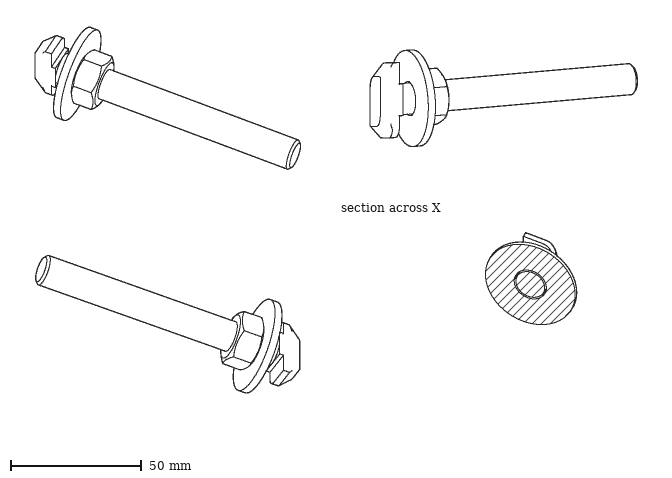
import cadquery as cq
import math

total_length = 107.5

head_thickness = 7.5
head_width = 12.0
head_height = 31.5
end_slope = 10.0
corner_radius = 5.0
sharp_edge_radius = 0.4
side_bevel_depth = 3.9
side_bevel_angle = 15.0
end_bevel_depth = 4.9
end_bevel_angle = 45.0
neck_thickness = 1.6
neck_height = 14.5

shank_diameter = 12.0
tip_chamfer = 1.0

washer_start = 14.1
washer_thickness = 3.0
washer_diameter = 37.0
washer_bore = 13.0

nut_sides = 6
nut_thickness = 10.0
nut_across_flats = 19.0
nut_face_diameter = 17.5
nut_chamfer_angle = 30.0

slope_rise = head_width * math.tan(math.radians(end_slope))
side_inset = side_bevel_depth * math.tan(math.radians(side_bevel_angle))
end_inset = end_bevel_depth * math.tan(math.radians(end_bevel_angle))
neck_end = head_thickness + neck_thickness
nut_start = washer_start + washer_thickness
nut_across_corners = nut_across_flats / math.cos(math.pi / nut_sides)


def cylinder(start, length, diameter):
    return cq.Workplane("YZ").workplane(offset=start).circle(diameter / 2).extrude(length)


def sloped_block(start, length, height):
    """Parallelogram prism along X, tallest at -Y on top and at +Y underneath."""
    half_width = head_width / 2
    tall = height / 2
    short = tall - slope_rise
    corners = [
        (-half_width, tall),
        (half_width, short),
        (half_width, -tall),
        (-half_width, -short),
    ]
    return cq.Workplane("YZ").workplane(offset=start).polyline(corners).close().extrude(length)


def edges_within(y_limit, z_limit):
    """Pick edges centred between the X axis and the given corner, off both end faces."""
    near = (head_thickness / 4, 0, 0)
    far = (head_thickness * 3 / 4, y_limit, z_limit)
    return cq.selectors.BoxSelector(near, far)


def bevelled_front():
    """Frustum widening backwards from the front face, its slanted corner edges rounded."""
    front_y = head_width / 2 - side_inset
    back_y = front_y + head_thickness * math.tan(math.radians(side_bevel_angle))
    sides = [(0, -front_y), (0, front_y), (head_thickness, back_y), (head_thickness, -back_y)]
    side_prism = cq.Workplane("XY").polyline(sides).close().extrude(head_height, both=True)

    front_z = (head_height - slope_rise) / 2 * math.cos(math.radians(end_slope)) - end_inset
    back_z = front_z + head_thickness * math.tan(math.radians(end_bevel_angle))
    ends = [(0, -front_z), (0, front_z), (head_thickness, back_z), (head_thickness, -back_z)]
    end_prism = cq.Workplane("XZ").polyline(ends).close().extrude(head_width, both=True)
    end_prism = end_prism.rotate((0, 0, 0), (1, 0, 0), -end_slope)

    frustum = side_prism.intersect(end_prism)
    for side in (1, -1):
        blunt_edge = edges_within(side * head_width, side * head_height)
        frustum = frustum.edges(blunt_edge).fillet(corner_radius)
    for side in (1, -1):
        sharp_edge = edges_within(-side * head_width, side * head_height)
        frustum = frustum.edges(sharp_edge).fillet(sharp_edge_radius)
    return frustum


def make_head():
    """Hammer head whose blunt corners, at +Y +Z and -Y -Z, are rounded."""
    body = sloped_block(0, head_thickness, head_height)
    for side in (1, -1):
        blunt_edge = edges_within(side * head_width, side * head_height)
        body = body.edges("|X").edges(blunt_edge).fillet(corner_radius)
    return body.intersect(bevelled_front())


def make_shank():
    shank = cylinder(neck_end, total_length - neck_end, shank_diameter)
    return shank.faces(">X").chamfer(tip_chamfer)


def make_washer():
    washer = cylinder(washer_start, washer_thickness, washer_diameter)
    return washer.cut(cylinder(washer_start, washer_thickness, washer_bore))


def make_nut():
    """Hexagon with corners at +Z and -Z, its ends trimmed by cones."""
    hexagon = cq.Workplane("YZ").workplane(offset=nut_start).polygon(nut_sides, nut_across_corners)
    nut = hexagon.extrude(nut_thickness).rotate((0, 0, 0), (1, 0, 0), 90)
    face_radius = nut_face_diameter / 2
    outer_radius = nut_across_corners / 2
    cone_depth = (outer_radius - face_radius) * math.tan(math.radians(nut_chamfer_angle))
    nut_end = nut_start + nut_thickness
    profile = [
        (nut_start, 0),
        (nut_start, face_radius),
        (nut_start + cone_depth, outer_radius),
        (nut_end - cone_depth, outer_radius),
        (nut_end, face_radius),
        (nut_end, 0),
    ]
    envelope = cq.Workplane("XY").polyline(profile).close().revolve(360, (0, 0, 0), (1, 0, 0))
    return nut.intersect(envelope)


neck = sloped_block(head_thickness, neck_thickness, neck_height)
bolt = make_head().union(neck).union(make_shank())
result = bolt.union(make_nut()).union(make_washer())